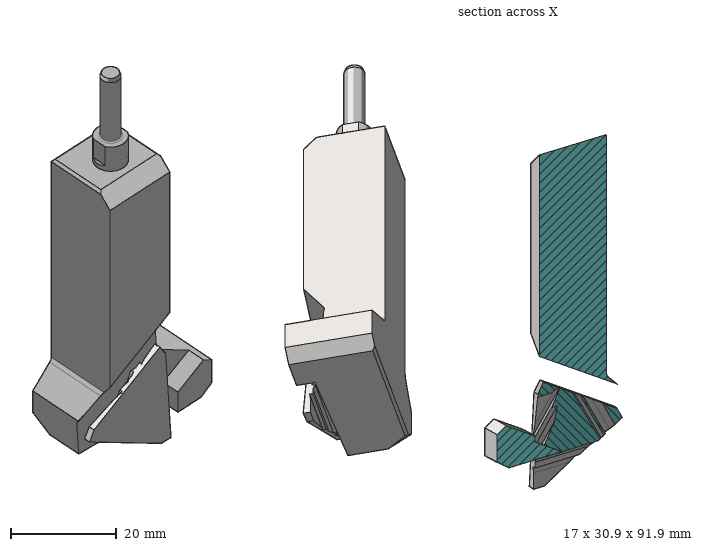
import cadquery as cq
import math


shank = 15.9
shank_top = 70.0
shank_edge_chamfer = 0.55
shank_side_chamfer = 3.0
head_width = 17.0
head_bottom = 6.7
head_front = -12.9
head_back = 18.0
front_shoulder_height = 14.9
front_flare_angle = 45
back_flare_angle = 30
back_shoulder_height = 14.4
back_corner_cut_width = 2.85
back_corner_cut_height = 1.9
shoulder_fillet = 1.5
head_edge_chamfer = 0.55
corner_cut_width = 4.6
corner_cut_depth = 3.2
corner_cut_height = 2.8

rod_diameter = 4.0
rod_top = 91.9
rod_chamfer_radial = 0.3
rod_chamfer_height = 0.8
collar_diameter = 6.8
collar_top = 76.1
flat_spacing = 6.1
flat_bottom = 71.4
rod_root_fillet = 0.3

insert_edge = 20.2
tip_length = 2.6
tip_thickness = 1.5
body_thickness = 2.0
tip_land = 3.4
tip_neck = 4.6
tip_neck_depth = 0.2
shoulder_step = 0.5
bevel_start = 5.8
bevel_step = 0.9
insert_lean = 5
insert_turn = 30
tip_x = 14.4
tip_y = 8.4

bevel_clearance = 2.9
bevel_angle = 45
stop_front = 9.0
stop_height = 11.8
stop_angle = 30

reach = 55.1

half_shank = shank / 2
seat_offset = tip_thickness - body_thickness
insert_height = tip_length + insert_edge * math.cos(math.radians(30))


def insert_plane():
    """Plane of the thinned tip face: local x follows the insert's upper side."""
    turn = math.radians(insert_turn)
    lean = math.radians(insert_lean)
    normal = (math.cos(lean), -math.sin(lean) * math.sin(turn), math.sin(lean) * math.cos(turn))
    return cq.Plane(
        origin=(tip_x, tip_y, 0),
        xDir=(0, math.cos(turn), math.sin(turn)),
        normal=normal,
    )


def in_insert_frame(shape):
    return cq.Workplane("XY").newObject([shape.val().moved(cq.Location(insert_plane()))])


def insert_outline():
    """Walk round the three sides and tips, starting at the lowest cutting corner."""
    points = [(0.0, 0.0)]
    heading = 150
    for _ in range(3):
        for length, turn in ((tip_length, 30), (insert_edge, 90)):
            x, y = points[-1]
            angle = math.radians(heading)
            points.append((x + length * math.cos(angle), y + length * math.sin(angle)))
            heading -= turn
    return points[:-1]


def make_tip_relief():
    """Space beside the lowest tip, upright in the head and returned in the insert's own frame."""
    profile = (
        cq.Workplane("XZ")
        .polyline([
            (tip_x, -tip_length),
            (tip_x, tip_land),
            (tip_x + tip_neck_depth, tip_neck),
            (tip_x - shoulder_step, tip_neck),
            (tip_x - shoulder_step, bevel_start),
            (tip_x - bevel_step, head_bottom),
            (0, head_bottom),
            (0, -tip_length),
        ])
        .close()
        .extrude(reach, both=True)
    )
    return cq.Workplane("XY").newObject([profile.val().moved(cq.Location(insert_plane()).inverse)])


def make_insert():
    outline = insert_outline()
    plate = cq.Workplane("XY").workplane(offset=seat_offset).polyline(outline).close().extrude(body_thickness)
    center_x = sum(x for x, _ in outline) / len(outline)
    center_y = sum(y for _, y in outline) / len(outline)
    relief = make_tip_relief()
    for tip in range(3):
        plate = plate.cut(relief.rotate((center_x, center_y, 0), (center_x, center_y, 1), 120 * tip))
    return in_insert_frame(plate)


def make_blank():
    """Shank and head as one profile, before the side of the head is cut away."""
    front_run = -half_shank - head_front
    back_run = head_back - half_shank
    front_root = front_shoulder_height + front_run * math.tan(math.radians(front_flare_angle))
    back_root = back_shoulder_height + back_run * math.tan(math.radians(back_flare_angle))
    blank = (
        cq.Workplane("YZ")
        .polyline([
            (head_front, head_bottom),
            (head_front, front_shoulder_height),
            (-half_shank, front_root),
            (-half_shank, shank_top),
            (half_shank, shank_top),
            (half_shank, back_root),
            (head_back, back_shoulder_height),
            (head_back, head_bottom + back_corner_cut_height),
            (head_back - back_corner_cut_width, head_bottom),
        ])
        .close()
        .extrude(head_width)
    )
    for y, z in ((-half_shank, front_root), (half_shank, back_root)):
        corner = cq.selectors.NearestToPointSelector((head_width / 2, y, z))
        blank = blank.edges("|X").edges(corner).fillet(shoulder_fillet)
    side_strip = cq.Workplane("XY").box(reach, shank, 2 * reach, centered=(False, True, True))
    return blank.cut(side_strip.translate((shank, 0, shank_top)))


def chamfer_shank_top(body):
    side_bevel = (
        cq.Workplane("XZ")
        .polyline([
            (shank - shank_side_chamfer, shank_top),
            (shank, shank_top),
            (shank, shank_top - shank_side_chamfer),
        ])
        .close()
        .extrude(half_shank, both=True)
    )
    body = body.faces(">Z").edges("<X or <Y or >Y").chamfer(shank_edge_chamfer)
    return body.cut(side_bevel)


def trim_head_corners(body):
    """Chamfer the bottom edge on the mounting side and cut its front corner off."""
    edge_bevel = (
        cq.Workplane("XZ")
        .polyline([
            (0, head_bottom),
            (head_edge_chamfer, head_bottom),
            (0, head_bottom + head_edge_chamfer),
        ])
        .close()
        .extrude(reach, both=True)
    )
    corner = cq.Vector(0, head_front, head_bottom)
    along_x = corner + cq.Vector(corner_cut_width, 0, 0)
    along_y = corner + cq.Vector(0, corner_cut_depth, 0)
    along_z = corner + cq.Vector(0, 0, corner_cut_height)
    faces = []
    for triangle in (
        (corner, along_x, along_y),
        (corner, along_x, along_z),
        (corner, along_y, along_z),
        (along_x, along_y, along_z),
    ):
        faces.append(cq.Face.makeFromWires(cq.Wire.makePolygon(triangle, close=True)))
    wedge = cq.Solid.makeSolid(cq.Shell.makeShell(faces))
    return body.cut(edge_bevel).cut(cq.Workplane("XY").newObject([wedge]))


def make_pocket():
    """Open space outside the seat, under a bevel parallel to the insert's upper side."""
    bevel_foot = insert_height + bevel_clearance
    bevel_rise = reach * math.tan(math.radians(bevel_angle))
    space = in_insert_frame(
        cq.Workplane("YZ")
        .polyline([
            (-reach, seat_offset),
            (bevel_foot, seat_offset),
            (bevel_foot + reach, seat_offset + bevel_rise),
            (-reach, seat_offset + bevel_rise),
        ])
        .close()
        .extrude(reach, both=True)
    )
    stop_block = (
        cq.Workplane("YZ")
        .polyline([
            (stop_front, 0),
            (stop_front, stop_height),
            (stop_front + reach, stop_height + reach * math.tan(math.radians(stop_angle))),
            (stop_front + reach, 0),
        ])
        .close()
        .extrude(reach, both=True)
    )
    return space.cut(stop_block)


def make_stud():
    rod = cq.Workplane("XY").workplane(offset=shank_top).circle(rod_diameter / 2).extrude(rod_top - shank_top)
    rod = rod.faces(">Z").chamfer(rod_chamfer_height, rod_chamfer_radial)
    collar_height = collar_top - shank_top
    collar = cq.Workplane("XY").workplane(offset=shank_top).circle(collar_diameter / 2).extrude(collar_height)
    rod_root = cq.selectors.RadiusNthSelector(0)
    stud = collar.union(rod).faces(cq.selectors.NearestToPointSelector((0, 0, collar_top)))
    stud = stud.edges(rod_root).fillet(rod_root_fillet)
    half_spacing = flat_spacing / 2
    flat = (
        cq.Workplane("YZ")
        .polyline([
            (half_spacing, flat_bottom),
            (half_spacing, rod_top),
            (collar_diameter, rod_top),
            (collar_diameter, flat_bottom + half_spacing - collar_diameter),
        ])
        .close()
        .extrude(collar_diameter, both=True)
    )
    for angle in (0, 180):
        stud = stud.cut(flat.rotate((0, 0, 0), (0, 0, 1), angle))
    return stud.translate((half_shank, 0, 0))


def make_holder():
    body = chamfer_shank_top(make_blank())
    body = trim_head_corners(body)
    return body.cut(make_pocket()).union(make_stud())


insert = make_insert()
holder = make_holder().cut(insert)

result = cq.Compound.makeCompound([holder.val(), insert.val()])